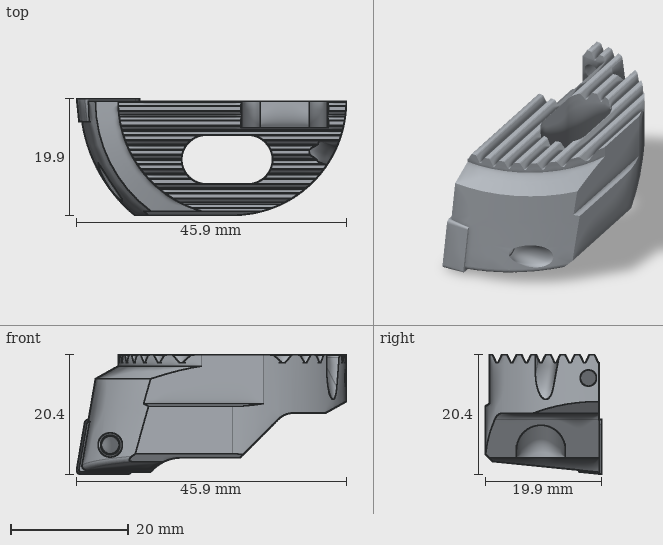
import cadquery as cq
import math


length = 45.9
plan_radius = 19.42
axis_x = length - plan_radius
shoulder_y = -18.7
shoulder_top = -8.35
shoulder_bottom = -8.8

collar_bottom = -1.97
flank_top_radius = 23.3
flank_top = -4.15
flank_slope = 0.172
bottom = -20.0
relief_slope = 0.1
flank_overrun = 0.45
bottom_round = 0.8
chamfer_top = -16.9

heel_x = 12.6
middle_floor = -17.6
heel_arc_x = 17.75
ramp_x = 27.8
tail_floor = -9.95
ramp_round = 3.67
tail_chamfer_x = 42.4
tail_chamfer_z = -8.0

tooth_pitch = 2.5
tooth_depth = 1.4
valley_half_width = 0.15
crest_half_width = 0.35
crest_chamfer = 0.15

slot_x = 25.62
slot_y = -9.9
slot_length = 15.45
slot_width = 8.3

notch_left = 28.1
notch_right = 42.7
notch_depth_y = 4.55
notch_floor = -6.45
notch_mouth_depth = 1.45
notch_mouth_flare = 0.2
relief_radius = 1.55
cross_hole_radius = 1.4
cross_hole_y = -1.85
cross_hole_z = -4.0

drain_radius = 1.8
drain_heading = -20.0
drain_dip = 61.6
drain_flare = 22.0
drain_x = 41.6
drain_y = -8.6

insert_proud = 0.45
insert_depth = 3.5
insert_width = 9.4
insert_left = -0.15
insert_bottom = -20.4
insert_height = 9.35
insert_lean = 1.6
insert_relief = 6.0
insert_corner = 0.75

screw_x = 5.75
screw_z = -15.4
screw_radius = 1.65
screw_tip_y = -8.72
screw_tip_chamfer = 0.15
access_radius = 2.05
access_end_y = -9.4


def prism_along_y(points, y_front, y_back):
    """Extrude an XZ outline from y_front to y_back."""
    return cq.Workplane("XZ", origin=(0, y_back, 0)).polyline(points).close().extrude(y_back - y_front)


def prism_along_x(points, x_start, x_end):
    """Extrude a YZ outline from x_start to x_end."""
    return cq.Workplane("YZ", origin=(x_start, 0, 0)).polyline(points).close().extrude(x_end - x_start)


def rod_along_y(x, z, radius, y_front, y_back):
    return cq.Workplane("XZ", origin=(x, y_back, z)).circle(radius).extrude(y_back - y_front)


def cutting_end():
    """Quarter turn of the collar, shoulder cone and flank cone, with the sloped, rounded underside."""
    deepest = bottom - flank_overrun
    flank_bottom_radius = flank_top_radius + flank_slope * (flank_top - deepest)
    quarter = (
        cq.Workplane("XZ", origin=(axis_x, 0, 0))
        .moveTo(0, 0)
        .lineTo(-plan_radius, 0)
        .lineTo(-plan_radius, collar_bottom)
        .lineTo(-flank_top_radius, flank_top)
        .lineTo(-flank_bottom_radius, deepest)
        .lineTo(0, deepest)
        .close()
        .revolve(90, (0, 0, 0), (0, 1, 0))
    )
    reach = 2 * plan_radius
    under_relief = [
        (0, bottom),
        (-reach, bottom + relief_slope * reach),
        (-reach, bottom - reach),
        (0, bottom - reach),
    ]
    quarter = quarter.cut(prism_along_x(under_relief, -length, length))
    rim_radius = flank_top_radius + flank_slope * (flank_top - bottom)
    rim_point = (axis_x - rim_radius * math.cos(math.pi / 4), -rim_radius * math.sin(math.pi / 4), bottom)
    return quarter.edges(cq.selectors.NearestToPointSelector(rim_point)).fillet(bottom_round)


def tail_end():
    """Quarter cylinder on the other side of the shared axis."""
    return (
        cq.Workplane("XY", origin=(axis_x, 0, 0))
        .lineTo(plan_radius, 0)
        .radiusArc((0, -plan_radius), plan_radius)
        .close()
        .extrude(bottom)
    )


def side_outline():
    """Slab whose underside steps up from the cutting end to the tail."""
    heel_drop = middle_floor - bottom
    heel_radius = ((heel_arc_x - heel_x) ** 2 + heel_drop ** 2) / (2 * heel_drop)
    ramp_top_x = ramp_x + tail_floor - middle_floor
    slab = (
        cq.Workplane("XZ")
        .moveTo(-length, 0)
        .lineTo(-length, bottom)
        .lineTo(heel_x, bottom)
        .radiusArc((heel_arc_x, middle_floor), heel_radius)
        .lineTo(ramp_x, middle_floor)
        .lineTo(ramp_top_x, tail_floor)
        .lineTo(tail_chamfer_x, tail_floor)
        .lineTo(length, tail_chamfer_z)
        .lineTo(length, 0)
        .close()
        .extrude(plan_radius)
    )
    ramp_edge = cq.selectors.NearestToPointSelector((ramp_top_x, -plan_radius / 2, tail_floor))
    return slab.edges(ramp_edge).fillet(ramp_round)


def front_outline():
    """Front flats with their step and the chamfer below."""
    chamfer_run = chamfer_top - bottom
    points = [
        (0, 0),
        (shoulder_y, 0),
        (shoulder_y, shoulder_top),
        (-plan_radius, shoulder_bottom),
        (-plan_radius, chamfer_top),
        (chamfer_run - plan_radius, bottom),
        (0, bottom),
    ]
    return prism_along_x(points, -length, length)


def tooth_grooves():
    """V grooves along X, one every pitch starting at the rear face."""
    half_pitch = tooth_pitch / 2
    mouth = half_pitch - crest_half_width
    neck = mouth - crest_chamfer
    section = [
        (-mouth, 0),
        (-neck, -crest_chamfer),
        (-valley_half_width, -tooth_depth),
        (valley_half_width, -tooth_depth),
        (neck, -crest_chamfer),
        (mouth, 0),
    ]
    grooves = []
    for index in range(math.ceil(plan_radius / tooth_pitch)):
        points = [(y - index * tooth_pitch, z) for y, z in section]
        grooves.append(prism_along_x(points, 0, length).val())
    return cq.Compound.makeCompound(grooves)


def clamping_slot():
    return cq.Workplane("XY").center(slot_x, slot_y).slot2D(slot_length, slot_width).extrude(bottom)


def rear_notch():
    """Notch open at the top and rear, flared at its mouth, with the two floor reliefs."""
    points = [
        (notch_left - notch_mouth_flare, 0),
        (notch_left, -notch_mouth_depth),
        (notch_left, notch_floor),
        (notch_right, notch_floor),
        (notch_right, -notch_mouth_depth),
        (notch_right + notch_mouth_flare, 0),
    ]
    notch = prism_along_y(points, -notch_depth_y, 0)
    for x in (notch_left + relief_radius, notch_right - relief_radius):
        notch = notch.union(rod_along_y(x, notch_floor, relief_radius, -notch_depth_y, 0))
    return notch


def cross_hole():
    """Hole from the notch out through the tail wall."""
    plane = cq.Workplane("YZ", origin=(notch_right, cross_hole_y, cross_hole_z))
    return plane.circle(cross_hole_radius).extrude(length - notch_right)


def drain_groove():
    """Round-bottomed groove open upwards and outwards; its rear side flares, its front side is straight."""
    heading = math.radians(drain_heading)
    dip = math.radians(drain_dip)
    plan_direction = cq.Vector(math.cos(heading), math.sin(heading), 0)
    up = cq.Vector(0, 0, 1)
    along = plan_direction * math.cos(dip) - up * math.sin(dip)
    outward = plan_direction * math.sin(dip) + up * math.cos(dip)
    reach = plan_radius
    flare = math.radians(drain_flare)
    tangent_x = -drain_radius * math.sin(flare)
    tangent_y = -drain_radius * math.cos(flare)
    plane = cq.Plane(origin=(drain_x, drain_y, 0), xDir=outward, normal=along)
    return (
        cq.Workplane(plane)
        .moveTo(reach, tangent_y - (reach - tangent_x) * math.tan(flare))
        .lineTo(tangent_x, tangent_y)
        .threePointArc((-drain_radius, 0), (0, drain_radius))
        .lineTo(reach, drain_radius)
        .close()
        .extrude(reach, both=True)
    )


def make_screw():
    screw = rod_along_y(screw_x, screw_z, screw_radius, screw_tip_y, insert_proud)
    return screw.faces("<Y").chamfer(screw_tip_chamfer)


def insert_block():
    """Leaning, round-cornered block that tapers towards the front."""
    top = insert_bottom + insert_height
    corners = [
        (insert_left, insert_bottom),
        (insert_left + insert_width, insert_bottom),
        (insert_left + insert_width + insert_lean, top),
        (insert_left + insert_lean, top),
    ]
    outline = cq.Sketch().polygon(corners + corners[:1]).vertices().fillet(insert_corner)
    return (
        cq.Workplane("XZ", origin=(0, insert_proud, 0))
        .placeSketch(outline)
        .extrude(insert_proud + insert_depth, taper=insert_relief)
    )


def make_insert():
    bore = rod_along_y(screw_x, screw_z, screw_radius, -insert_depth, insert_proud)
    return insert_block().cut(bore)


def make_housing():
    housing = cutting_end().union(tail_end()).intersect(side_outline()).intersect(front_outline())
    housing = housing.cut(cq.Workplane(tooth_grooves()))
    housing = housing.cut(clamping_slot())
    housing = housing.cut(rear_notch())
    housing = housing.cut(cross_hole())
    housing = housing.cut(drain_groove())
    housing = housing.cut(insert_block())
    housing = housing.cut(rod_along_y(screw_x, screw_z, screw_radius, access_end_y, 0))
    return housing.cut(rod_along_y(screw_x, screw_z, access_radius, -plan_radius, access_end_y))


housing = make_housing()
insert = make_insert()
screw = make_screw()

result = cq.Compound.makeCompound([housing.solids().val(), insert.solids().val(), screw.solids().val()])